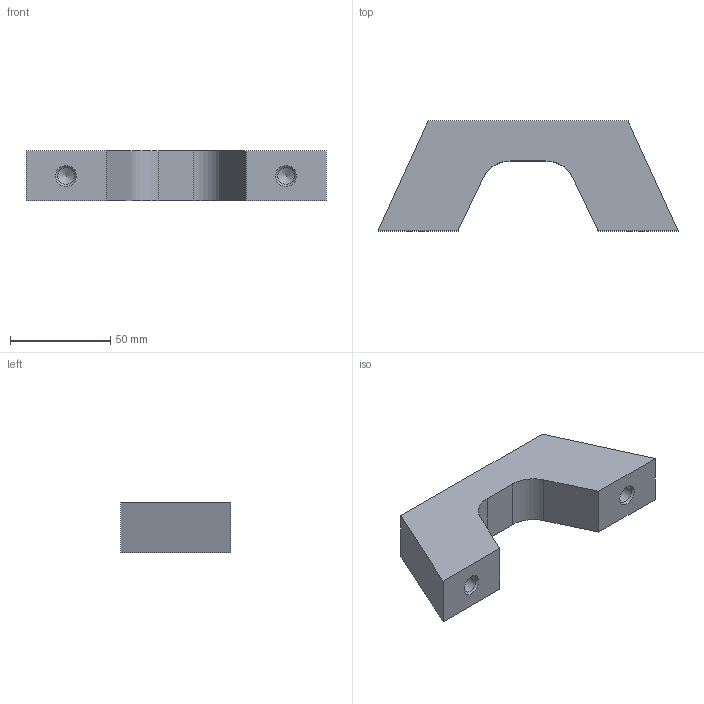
import cadquery as cq
import math

length = 150.0
back_length = 100.0
depth = 55.0
height = 25.0

foot_width = 40.0
grip_thickness = 20.0
opening_back_length = 37.0
opening_corner_radius = 15.0

hole_diameter = 8.5
hole_depth = 20.0
hole_mouth_diameter = 10.5
hole_mouth_depth = (hole_mouth_diameter - hole_diameter) / 2
drill_point_angle = 118.0

half_depth = depth / 2
half_height = height / 2


def trapezoid_prism(front_length, rear_length, prism_depth):
    """Symmetric trapezoid standing on the front face plane, extruded over the full height."""
    front = -half_depth
    rear = front + prism_depth
    return (
        cq.Workplane("XY")
        .workplane(offset=-half_height)
        .moveTo(-front_length / 2, front)
        .lineTo(front_length / 2, front)
        .lineTo(rear_length / 2, rear)
        .lineTo(-rear_length / 2, rear)
        .close()
        .extrude(height)
    )


def hand_opening():
    opening_depth = depth - grip_thickness
    front_length = length - 2 * foot_width
    opening = trapezoid_prism(front_length, opening_back_length, opening_depth)
    return opening.faces(">Y").edges("|Z").fillet(opening_corner_radius)


def mounting_hole(x):
    """Drilled hole with a countersunk mouth and a conical bottom, running along +Y."""
    radius = hole_diameter / 2
    mouth_radius = hole_mouth_diameter / 2
    tip_length = radius / math.tan(math.radians(drill_point_angle / 2))
    return (
        cq.Workplane("XY")
        .lineTo(mouth_radius, 0)
        .lineTo(radius, hole_mouth_depth)
        .lineTo(radius, hole_depth)
        .lineTo(0, hole_depth + tip_length)
        .close()
        .revolve(360, (0, 0), (0, 1))
        .translate((x, -half_depth, 0))
    )


result = trapezoid_prism(length, back_length, depth).cut(hand_opening())

hole_offset = (length - foot_width) / 2
for side in (-1, 1):
    result = result.cut(mounting_hole(side * hole_offset))